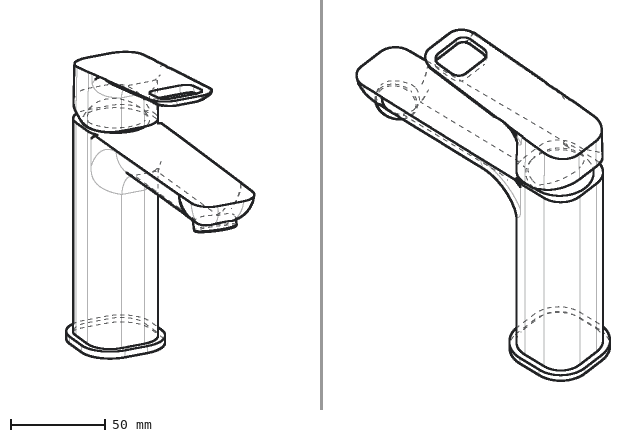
import cadquery as cq
import math

FOOT_WIDTH = 48.0
FOOT_HEIGHT = 4.0
BODY_WIDTH = 40.5
BODY_HALF = BODY_WIDTH / 2
FLAT_HALF = 6.8
FOOT_RADIUS = FOOT_WIDTH / 2 - FLAT_HALF
BODY_RADIUS = BODY_HALF - FLAT_HALF
BODY_TOP = 126.0

SPOUT_TIP_X = 134.1
SPOUT_TIP_HALF = 18.3
SPOUT_TIP_RADIUS = 10.7
SPOUT_DEPTH = 18.0
SPOUT_NOSE_LENGTH = 24.2
SPOUT_BLEND = 18.6

LEVER_BOTTOM = 128.3
LEVER_BACK_BOTTOM = 138.3
LEVER_FLAT_X = 0.7
LEVER_TOP = 169.1
LEVER_SLOPE = math.radians(7.0)
LEVER_DRAFT = 1.3
LEVER_FRONT_X = 19.8
LEVER_TOP_HALF = 19.6
LEVER_TIP_X = 85.4
LEVER_TIP_HALF = 17.6
LEVER_TIP_RADIUS = 9.8
LEVER_DEPTH = 4.7
LEVER_NOSE_LENGTH = 8.5
LEVER_BLEND = 11.8

ARM_INSET = 0.2
FULLNESS = 1.6
RIM = 0.7
BLEND_STEPS = 4
BLEND_BACK = 25.4
NOSE_STEPS = 5
NOSE_OVERLAP = 5.0
NOSE_END_RADIUS = 0.8

WINDOW_X = 70.0
WINDOW_LENGTH = 19.6
WINDOW_WIDTH = 25.7
WINDOW_RADIUS = 5.4

DOME_RADIUS = 19.8
DOME_CENTRE_Z = 117.9

AERATOR_RADIUS = 11.5
AERATOR_LENGTH = 10.1
AERATOR_TILT = 16.6
AERATOR_X = 116.3
AERATOR_Z = 105.3
AERATOR_CHAMFER = 0.7


def rounded_square(width, radius, bottom, height, taper=0.0):
    outline = cq.Sketch().rect(width, width).vertices().fillet(radius)
    return cq.Workplane().workplane(offset=bottom).placeSketch(outline).extrude(height, taper=taper)


def sloped_height(x, tip_x, tip_z, slope):
    return tip_z - (tip_x - x) * math.tan(slope)


def section(x, z, angle, half, edge_depth, depth, fullness):
    """Wire across an arm: flat strip centred on (x, z), arched corners, straight sides.

    The section plane holds the Y axis direction. At angle 0 its depth points to -X,
    at a quarter turn it points up.
    """
    plane = cq.Plane(origin=(x, 0, z), xDir=(0, 1, 0), normal=(math.sin(angle), 0, math.cos(angle)))
    reach = 0.5 ** (1 / fullness)
    bend_half = FLAT_HALF + reach * (half - FLAT_HALF)
    bend_depth = edge_depth * (1 - reach)
    return (
        cq.Workplane(plane)
        .moveTo(-FLAT_HALF, 0)
        .lineTo(FLAT_HALF, 0)
        .threePointArc((bend_half, bend_depth), (half, edge_depth))
        .lineTo(half, depth)
        .lineTo(-half, depth)
        .lineTo(-half, edge_depth)
        .threePointArc((-bend_half, bend_depth), (-FLAT_HALF, 0))
        .close()
        .wires()
        .val()
    )


def nose(length, depth, start_half, tip_half, tip_radius):
    """End of an arm, stacked from outlines that shrink along curves towards the underside.

    The top lies at Z = 0 and the tip at X = 0.
    """
    outlines = []
    for step in range(NOSE_STEPS + 1):
        turn = step / NOSE_STEPS * math.pi / 2
        shrink = math.cos(turn)
        tip = length * (shrink - 1)
        radius = NOSE_END_RADIUS + shrink * (tip_radius - NOSE_END_RADIUS)
        narrowing = (1 - math.sin(turn) ** FULLNESS) ** (1 / FULLNESS)
        half_back = FLAT_HALF + narrowing * (start_half - FLAT_HALF)
        half_front = FLAT_HALF + narrowing * (tip_half - FLAT_HALF)
        back = -length - NOSE_OVERLAP
        bend = radius * (1 - math.sqrt(0.5))
        outline = (
            cq.Workplane(origin=(0, 0, -depth * math.sin(turn)))
            .moveTo(back, -half_back)
            .lineTo(tip - radius, -half_front)
            .threePointArc((tip - bend, bend - half_front), (tip, radius - half_front))
            .lineTo(tip, half_front - radius)
            .threePointArc((tip - bend, half_front - bend), (tip - radius, half_front))
            .lineTo(back, half_back)
            .close()
        )
        outlines.append(outline.wires().val())
    return cq.Workplane(cq.Solid.makeLoft(outlines))


def arm(front_x, top_z, slope, root_half, tip_x, tip_half, tip_radius, depth, nose_length, blend):
    """Arm that grows out of an upright front face, rises at the slope and ends in a rounded nose.

    top_z is the height of its flat top at the tip.
    """

    def top_at(x):
        return sloped_height(x, tip_x, top_z, slope)

    def half_at(x):
        return root_half + (tip_half - root_half) * max(0, x - FLAT_HALF) / (tip_x - FLAT_HALF)

    axis_x = front_x + blend
    axis_z = top_at(axis_x) - (depth + blend) / math.cos(slope)
    full_turn = math.pi / 2 - slope
    edge_depth = depth - RIM
    blend_sections = []
    for step in range(BLEND_STEPS + 1):
        share = step / BLEND_STEPS
        turn = share * full_turn
        x = axis_x - blend * math.cos(turn)
        z = axis_z + blend * math.sin(turn)
        corner_depth = BODY_RADIUS + share * (edge_depth - BODY_RADIUS)
        fullness = 2 + share * (FULLNESS - 2)
        blend_sections.append(section(x, z, turn, half_at(x), corner_depth, BLEND_BACK, fullness))

    nose_x = tip_x - nose_length * math.cos(slope)
    underside_x = nose_x + depth * math.sin(slope)
    underside_z = top_at(nose_x) - depth * math.cos(slope)
    arm_end = section(
        underside_x, underside_z, full_turn, half_at(nose_x), edge_depth, BLEND_BACK, FULLNESS
    )

    below_top = (
        cq.Workplane("XZ")
        .moveTo(-tip_x, top_at(-tip_x))
        .lineTo(tip_x, top_z)
        .lineTo(tip_x, 0)
        .lineTo(-tip_x, 0)
        .close()
        .extrude(BODY_WIDTH, both=True)
    )
    end = nose(nose_length, depth, half_at(nose_x), tip_half, tip_radius)
    end = end.rotate((0, 0, 0), (0, 1, 0), -math.degrees(slope)).translate((tip_x, 0, top_z))
    straight = cq.Workplane(cq.Solid.makeLoft([blend_sections[-1], arm_end], True))
    curved = cq.Workplane(cq.Solid.makeLoft(blend_sections))
    return curved.union(straight).intersect(below_top).union(end)


def make_body():
    column = rounded_square(BODY_WIDTH, BODY_RADIUS, FOOT_HEIGHT, BODY_TOP - FOOT_HEIGHT)
    spout = arm(
        front_x=BODY_HALF - ARM_INSET,
        top_z=BODY_TOP,
        slope=0.0,
        root_half=BODY_HALF - ARM_INSET,
        tip_x=SPOUT_TIP_X,
        tip_half=SPOUT_TIP_HALF,
        tip_radius=SPOUT_TIP_RADIUS,
        depth=SPOUT_DEPTH,
        nose_length=SPOUT_NOSE_LENGTH,
        blend=SPOUT_BLEND,
    )
    return column.union(spout)


def make_aerator():
    aerator = (
        cq.Workplane()
        .circle(AERATOR_RADIUS)
        .extrude(AERATOR_LENGTH)
        .faces("<Z")
        .chamfer(AERATOR_CHAMFER)
    )
    return aerator.rotate((0, 0, 0), (0, 1, 0), -AERATOR_TILT).translate((AERATOR_X, 0, AERATOR_Z))


def make_dome():
    ball = cq.Workplane(origin=(0, 0, DOME_CENTRE_Z)).sphere(DOME_RADIUS)
    above = cq.Workplane(origin=(0, 0, BODY_TOP - 1.7)).rect(BODY_WIDTH, BODY_WIDTH).extrude(BODY_WIDTH)
    return ball.intersect(above)


def lever_top_at(x):
    return sloped_height(x, LEVER_TIP_X, LEVER_TOP, LEVER_SLOPE)


def make_grip():
    """Drafted block, cut to the slope above and cut back below."""
    block = rounded_square(
        BODY_WIDTH, BODY_RADIUS, LEVER_BOTTOM, LEVER_TOP - LEVER_BOTTOM, taper=LEVER_DRAFT
    )
    side_outline = (
        cq.Workplane("XZ")
        .moveTo(-BODY_HALF, lever_top_at(-BODY_HALF))
        .lineTo(BODY_HALF, lever_top_at(BODY_HALF))
        .lineTo(BODY_HALF, LEVER_BOTTOM)
        .lineTo(LEVER_FLAT_X, LEVER_BOTTOM)
        .lineTo(-BODY_HALF, LEVER_BACK_BOTTOM)
        .close()
        .extrude(BODY_HALF, both=True)
    )
    return block.intersect(side_outline)


def make_window():
    outline = cq.Sketch().rect(WINDOW_LENGTH, WINDOW_WIDTH).vertices().fillet(WINDOW_RADIUS)
    plane = cq.Plane(
        origin=(WINDOW_X, 0, lever_top_at(WINDOW_X)),
        xDir=(math.cos(LEVER_SLOPE), 0, math.sin(LEVER_SLOPE)),
        normal=(-math.sin(LEVER_SLOPE), 0, math.cos(LEVER_SLOPE)),
    )
    return cq.Workplane(plane).placeSketch(outline).extrude(2 * LEVER_DEPTH, both=True)


def make_lever():
    lever_arm = arm(
        front_x=LEVER_FRONT_X,
        top_z=LEVER_TOP,
        slope=LEVER_SLOPE,
        root_half=LEVER_TOP_HALF,
        tip_x=LEVER_TIP_X,
        tip_half=LEVER_TIP_HALF,
        tip_radius=LEVER_TIP_RADIUS,
        depth=LEVER_DEPTH,
        nose_length=LEVER_NOSE_LENGTH,
        blend=LEVER_BLEND,
    )
    return make_grip().union(lever_arm).cut(make_window())


foot = rounded_square(FOOT_WIDTH, FOOT_RADIUS, 0, FOOT_HEIGHT)
result = foot.union(make_body()).union(make_aerator()).union(make_dome()).union(make_lever())